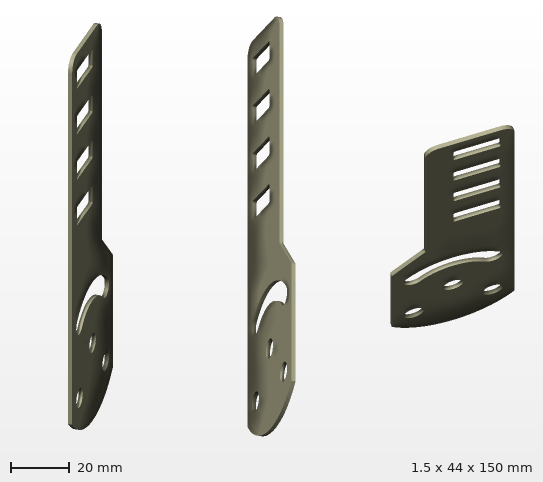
import cadquery as cq
import math

thickness = 1.5
width = 44.0
height = 150.0
base_radius = 30.0
half_width = width / 2
top_z = height - base_radius

shoulder = 12.0
shoulder_bottom_z = 23.0
arm_corner_radius = 5.0

hole_diameter = 7.0
hole_circle_radius = 20.0
hole_angle = 45.0

window_count = 4
window_width = 17.0
window_height = 7.0
window_pitch = 17.5
window_edge_gap = 5.0
top_window_drop = 10.0
window_corner_radius = 0.8


def plate_solid():
    """Base with an arc bottom, tapering through the shoulder to the arm."""
    arm_y = half_width - shoulder
    arc_end_z = -math.sqrt(base_radius**2 - half_width**2)
    plate = (
        cq.Workplane("YZ")
        .moveTo(-half_width, arc_end_z)
        .threePointArc((0, -base_radius), (half_width, arc_end_z))
        .lineTo(half_width, shoulder_bottom_z)
        .lineTo(arm_y, shoulder_bottom_z + shoulder)
        .lineTo(arm_y, top_z)
        .lineTo(-half_width, top_z)
        .close()
        .extrude(thickness)
    )
    return plate.faces(">Z").edges("|X").fillet(arm_corner_radius)


def round_holes():
    """Pivot hole and the two lower holes."""
    offset = hole_circle_radius * math.sin(math.radians(hole_angle))
    drop = hole_circle_radius * math.cos(math.radians(hole_angle))
    centres = [(0, 0), (-offset, -drop), (offset, -drop)]
    return cq.Workplane("YZ").pushPoints(centres).circle(hole_diameter / 2).extrude(thickness)


def curved_slot():
    """Round-ended slot following the hole circle above the pivot."""
    end_angle = math.radians(hole_angle)
    inner = hole_circle_radius - hole_diameter / 2
    outer = hole_circle_radius + hole_diameter / 2
    tip_y = (hole_circle_radius * math.sin(end_angle)
             + hole_diameter / 2 * math.cos(end_angle))
    tip_z = (hole_circle_radius * math.cos(end_angle)
             - hole_diameter / 2 * math.sin(end_angle))

    def end_point(radius, side):
        return (side * radius * math.sin(end_angle), radius * math.cos(end_angle))

    return (
        cq.Workplane("YZ")
        .moveTo(*end_point(outer, -1))
        .threePointArc((0, outer), end_point(outer, 1))
        .threePointArc((tip_y, tip_z), end_point(inner, 1))
        .threePointArc((0, inner), end_point(inner, -1))
        .threePointArc((-tip_y, tip_z), end_point(outer, -1))
        .close()
        .extrude(thickness)
    )


def arm_windows():
    """Evenly spaced rectangular windows with small corner radii."""
    centre_y = -half_width + window_edge_gap + window_width / 2
    first_z = top_z - top_window_drop
    centres = [(centre_y, first_z - i * window_pitch) for i in range(window_count)]
    windows = (
        cq.Workplane("YZ")
        .pushPoints(centres)
        .rect(window_width, window_height)
        .extrude(thickness)
    )
    return windows.edges("|X").fillet(window_corner_radius)


result = plate_solid().cut(round_holes()).cut(curved_slot()).cut(arm_windows())